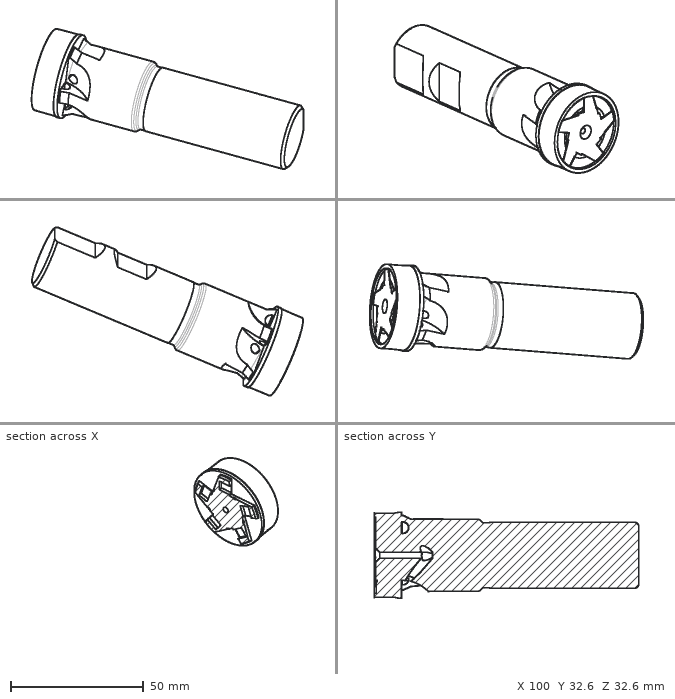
import cadquery as cq
import math

length = 100.0

ring_front_radius = 16.0
ring_rear_radius = 16.1
flange_radius = 16.3
flange_start = 8.9
ring_end = 10.4
ring_face_radius = 10.3
ring_bore_radius = 7.6
ring_cone_depth = 1.2
rim_edge_radius = 14.5
rim_root_radius = 14.2
ring_recess = 0.8

body_face = 0.5
collar_radius = 15.1
collar_end = 10.9
body_radius = 13.7
body_start = 13.9
body_end = 39.2
shoulder_round = 1.2
shoulder_fillet = 1.0
neck_radius = 12.4
neck_end = 43.6
shank_radius = 12.5
end_chamfer = 1.1

flat_height = 9.7
flat_slope = shank_radius - flat_height
first_flat_start = 59.2
first_flat_end = 76.7
second_flat_start = 80.4

pocket_count = 5
pocket_floor = 7.8
runout_radius = 13.2
runout_start = 10.6
wall_offset = 1.9
wall_angle = 9.0
pocket_reach = 25.0

seat_floor = 8.4
seat_offset = 0.7
seat_length = ring_end

screw_radius = 2.1
screw_depth = 5.0
screw_x = 10.9
screw_height = 10.4

centre_radius = 2.7
bore_radius = 1.1
bore_depth = 22.0
coolant_radius = 1.6
coolant_x = 13.5
coolant_y = 4.1
coolant_overshoot = 1.3


def revolve_about_axis(points):
    """Turn (x, radius) points into a solid of revolution about the X axis."""
    return cq.Workplane("XY").polyline(points).close().revolve(360, (0, 0, 0), (1, 0, 0))


def tool_body():
    half_diagonal = math.sqrt(0.5)
    cone_top_x = body_end + shoulder_round * half_diagonal
    cone_top_radius = body_radius - shoulder_round * (1 - half_diagonal)
    cone_foot_radius = neck_radius + shoulder_fillet * (1 - half_diagonal)
    cone_foot_x = cone_top_x + cone_top_radius - cone_foot_radius
    neck_start = cone_foot_x + shoulder_fillet * half_diagonal
    profile = (
        cq.Workplane("XY")
        .moveTo(body_face, 0)
        .lineTo(body_face, rim_root_radius)
        .lineTo(ring_end, collar_radius)
        .lineTo(collar_end, collar_radius)
        .lineTo(body_start, body_radius)
        .lineTo(body_end, body_radius)
        .tangentArcPoint((cone_top_x, cone_top_radius), relative=False)
        .lineTo(cone_foot_x, cone_foot_radius)
        .tangentArcPoint((neck_start, neck_radius), relative=False)
        .lineTo(neck_end, neck_radius)
        .lineTo(neck_end, shank_radius)
        .lineTo(length - end_chamfer, shank_radius)
        .lineTo(length, shank_radius - end_chamfer)
        .lineTo(length, 0)
        .close()
    )
    return profile.revolve(360, (0, 0, 0), (1, 0, 0))


def cutting_ring():
    return revolve_about_axis([
        (ring_recess + ring_cone_depth, ring_bore_radius),
        (ring_recess, ring_face_radius),
        (ring_recess, rim_root_radius),
        (0, rim_edge_radius),
        (0, ring_front_radius),
        (flange_start, ring_rear_radius),
        (flange_start, flange_radius),
        (ring_end, flange_radius),
        (ring_end, ring_bore_radius),
    ])


def pocket_cutter():
    """Pocket on the +Z side: flat floor with a curved run-out, bounded by a slanted wall on its -Y side."""
    arc_centre_z = pocket_floor + runout_radius
    diagonal = runout_radius * math.sqrt(0.5)
    gullet = (
        cq.Workplane("XZ")
        .moveTo(-pocket_reach, pocket_floor)
        .lineTo(0, pocket_floor)
        .threePointArc((diagonal, arc_centre_z - diagonal), (runout_radius, arc_centre_z))
        .lineTo(-pocket_reach, arc_centre_z)
        .close()
        .extrude(-pocket_reach)
        .rotate((0, 0, 0), (0, 0, 1), -wall_angle)
        .translate((runout_start, wall_offset, 0))
    )
    seat = (
        cq.Workplane("XY")
        .box(seat_length, pocket_reach, pocket_reach, centered=False)
        .translate((0, seat_offset, seat_floor))
    )
    return gullet.union(seat)


def screw_cutter():
    start = cq.Vector(screw_x, wall_offset, screw_height)
    return cq.Workplane(cq.Solid.makeCylinder(screw_radius, screw_depth, start, cq.Vector(0, -1, 0)))


def coolant_cutter():
    """Inclined hole from the axial bore to the pocket floor."""
    source = cq.Vector(bore_depth - bore_radius, 0, 0)
    outlet = cq.Vector(coolant_x, coolant_y, pocket_floor)
    path = outlet - source
    hole_length = path.Length + coolant_overshoot
    return cq.Workplane(cq.Solid.makeCylinder(coolant_radius, hole_length, source, path))


def centre_bore():
    cone_depth = centre_radius - bore_radius
    return revolve_about_axis([
        (body_face, 0),
        (body_face, centre_radius),
        (body_face + cone_depth, bore_radius),
        (bore_depth, bore_radius),
        (bore_depth, 0),
    ])


def flat_cutter():
    """Two flats with 45 degree ends, the second running out through the shank end."""
    first = [
        (first_flat_start, shank_radius),
        (first_flat_start + flat_slope, flat_height),
        (first_flat_end - flat_slope, flat_height),
        (first_flat_end, shank_radius),
    ]
    second = [
        (second_flat_start, shank_radius),
        (second_flat_start + flat_slope, flat_height),
        (length, flat_height),
        (length, shank_radius),
    ]
    cutters = cq.Workplane("XY").polyline(first).close().polyline(second).close()
    return cutters.extrude(shank_radius, both=True)


result = tool_body().cut(flat_cutter())
for index in range(pocket_count):
    angle = index * 360 / pocket_count
    for cutter in (pocket_cutter(), screw_cutter(), coolant_cutter()):
        result = result.cut(cutter.rotate((0, 0, 0), (1, 0, 0), angle))
result = result.cut(centre_bore()).union(cutting_ring())